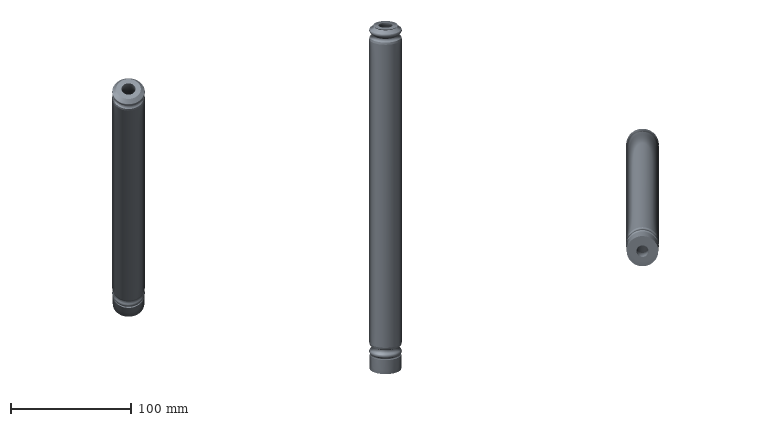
import cadquery as cq
import math

total_length = 304.8
body_radius = 27.0 / 2
tube_bore_radius = 11.5 / 2
base_bore_radius = 10.0 / 2

base_radius = 26.2 / 2
base_height = 12.5
tube_bottom = 11.3

tip_radius = 20.5 / 2
undercut_depth = 1.0
groove_radius = 19.0 / 2
shoulder_radius = 13.0
rib_round_radius = 4.3 / 2
rib_crest_depth = 4.3
rib_edge_angle = -30
rib_blend_angle = 50
groove_depth = 8.5
shoulder_depth = 10.5
body_start_depth = 12.2


def end_section(end_height, inward):
    """Revolve one tube end: an undercut tip, a rounded rib, a V-groove and the body shoulder.

    inward is +1 when the tube continues upward from end_height, -1 when downward.
    """

    def at(radius, depth):
        return (radius, end_height + inward * depth)

    def on_rib(angle):
        turn = math.radians(angle)
        radius = body_radius - rib_round_radius * (1 - math.cos(turn))
        return at(radius, rib_crest_depth + rib_round_radius * math.sin(turn))

    profile = (
        cq.Workplane("XZ")
        .moveTo(*at(0, 0))
        .lineTo(*at(tip_radius, 0))
        .lineTo(*at(groove_radius, undercut_depth))
        .lineTo(*on_rib(rib_edge_angle))
        .threePointArc(on_rib(0), on_rib(rib_blend_angle))
        .lineTo(*at(groove_radius, groove_depth))
        .lineTo(*at(shoulder_radius, shoulder_depth))
        .lineTo(*at(body_radius, body_start_depth))
        .lineTo(*at(0, body_start_depth))
        .close()
    )
    return profile.revolve(360, (0, 0, 0), (0, 1, 0))


base = cq.Workplane("XY").circle(base_radius).extrude(base_height)

body_bottom = tube_bottom + body_start_depth
body_length = total_length - body_start_depth - body_bottom
body = cq.Workplane("XY").workplane(offset=body_bottom).circle(body_radius).extrude(body_length)

lower_end = end_section(tube_bottom, 1)
upper_end = end_section(total_length, -1)
solid_part = base.union(lower_end).union(body).union(upper_end)

base_bore = cq.Workplane("XY").circle(base_bore_radius).extrude(total_length)
tube_bore_length = total_length - tube_bottom
tube_bore = cq.Workplane("XY").workplane(offset=tube_bottom).circle(tube_bore_radius).extrude(tube_bore_length)

result = solid_part.cut(base_bore).cut(tube_bore)